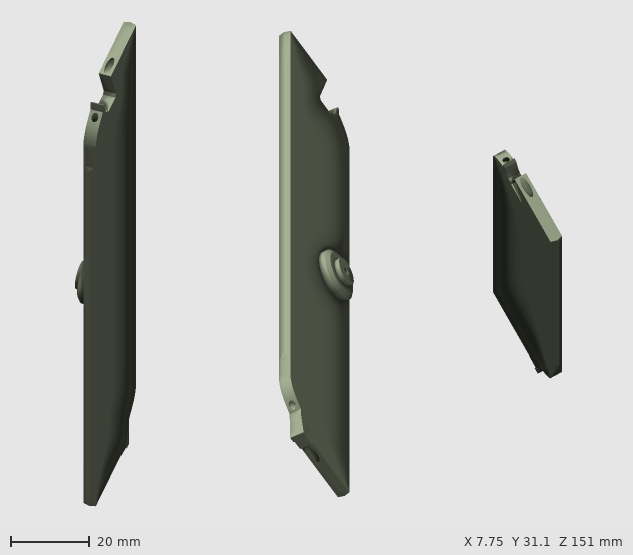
import cadquery as cq
import math


blade_length = 150.0
blade_width = 31.1
blade_thickness = 3.3
ridge_angle = 15.0

half_length = blade_length / 2
half_width = blade_width / 2
half_thickness = blade_thickness / 2
ridge_height = half_thickness * math.tan(math.radians(ridge_angle))

relief_depth = 0.3
relief_runout = 1.4
relief_start = 50.6
relief_y = -(half_width - relief_depth)

nose_radius = 9.0
nose_slope = 40.0
nose_arc_bottom = 58.9

clamp_edge = (-3.8, half_length)
jaw_tip = (-9.7, 70.0)
jaw_heel_y = -9.8
seat_profile = [
    clamp_edge,
    (0, 64.6),
    (-0.5, 63.5),
    (-5.6, 63.5),
    (-6.2, 64.5),
    (-7.1, 64.8),
    (-7.9, 65.8),
    (-8.8, 69.3),
    jaw_tip,
]

coolant_diameter = 1.8
clamp_hole_exit = (-0.5, half_length)
clamp_hole_angle = 162.0
clamp_hole_depth = 9.0
nose_hole_exit = (-11.2, 66.7)
nose_hole_angle = 90.0
nose_hole_depth = 4.5
hole_overrun = 6.0

button_y = -6.5
button_z = 0.5
button_radius = 7.0
button_cylinder_height = 1.8
button_chamfer_height = 0.9
button_face_radius = 5.9
button_boss_radius = 3.8
button_boss_height = 1.4
button_hole_radius = 1.0
button_hole_depth = button_boss_height

insert_overhang = 1.0
insert_back_overhang = 0.9
insert_width = 4.0
cutting_corner = (-8.9, half_length + insert_overhang)
insert_back_corner = (-4.4, half_length + insert_back_overhang)
head_end_width = 1.7


def half_turn(body):
    return body.rotate((0, 0, 0), (1, 0, 0), 180)


def plate(points, thickness):
    """Flat plate in the YZ plane, centred on X = 0."""
    return cq.Workplane("YZ").polyline(points).close().extrude(thickness / 2, both=True)


def make_ridged_bar():
    """Full-length bar with a shallow V ridge along both long edges."""
    shoulder = half_width - ridge_height
    section = [
        (-half_thickness, -shoulder),
        (0, -half_width),
        (half_thickness, -shoulder),
        (half_thickness, shoulder),
        (0, half_width),
        (-half_thickness, shoulder),
    ]
    bar = cq.Workplane("XY").workplane(offset=-half_length).polyline(section).close()
    return bar.extrude(blade_length)


def nose_arc_point(angle):
    """Point on the nose arc, the angle counted up from its bottom end."""
    turn = math.radians(angle)
    y = relief_y + nose_radius * (1 - math.cos(turn))
    return (y, nose_arc_bottom + nose_radius * math.sin(turn))


def make_end_outline():
    """Upper half of the blade outline, with the seat, nose and ridge relief."""
    arc_angle = 90 - nose_slope
    slope_end = nose_arc_point(arc_angle)
    heel_rise = (jaw_heel_y - slope_end[0]) * math.tan(math.radians(nose_slope))
    jaw_heel = (jaw_heel_y, slope_end[1] + heel_rise)
    outline = cq.Workplane("YZ").moveTo(half_width, 0).lineTo(half_width, half_length)
    for point in seat_profile:
        outline = outline.lineTo(*point)
    outline = (
        outline.lineTo(*jaw_heel)
        .lineTo(*slope_end)
        .threePointArc(nose_arc_point(arc_angle / 2), nose_arc_point(0))
        .lineTo(relief_y, relief_start + relief_runout)
        .lineTo(-half_width, relief_start)
        .lineTo(-half_width, 0)
        .close()
    )
    return outline.extrude(half_thickness, both=True)


def make_coolant_hole(exit_point, angle, depth):
    """Cutter for a blind hole that leaves the blade along the given angle."""
    turn = math.radians(angle)
    axis = cq.Vector(0, math.cos(turn), math.sin(turn))
    start = cq.Vector(0, *exit_point) - axis * depth
    hole = cq.Solid.makeCylinder(coolant_diameter / 2, depth + hole_overrun, start, axis)
    return cq.Workplane(obj=hole)


def make_button():
    """Stepped, chamfered button with a central blind hole, standing on the -X face."""
    face_height = button_cylinder_height + button_chamfer_height
    top_height = face_height + button_boss_height
    hole_floor = top_height - button_hole_depth
    half_section = [
        (0, 0),
        (button_radius, 0),
        (button_radius, button_cylinder_height),
        (button_face_radius, face_height),
        (button_boss_radius, face_height),
        (button_boss_radius, top_height),
        (button_hole_radius, top_height),
        (button_hole_radius, hole_floor),
        (0, hole_floor),
    ]
    seat_plane = cq.Plane((-half_thickness, button_y, button_z), xDir=(0, 1, 0), normal=(0, 0, 1))
    return cq.Workplane(seat_plane).polyline(half_section).close().revolve(360, (0, 0), (0, 1))


def make_blade():
    end = make_end_outline()
    blade = make_ridged_bar().intersect(end.union(half_turn(end)))
    coolant_holes = [
        make_coolant_hole(clamp_hole_exit, clamp_hole_angle, clamp_hole_depth),
        make_coolant_hole(nose_hole_exit, nose_hole_angle, nose_hole_depth),
    ]
    for hole in coolant_holes:
        blade = blade.cut(hole).cut(half_turn(hole))
    return blade.union(make_button())


def make_insert():
    """Insert filling a seat, with a head that widens toward the cutting corner."""
    body = plate(seat_profile + [cutting_corner, insert_back_corner], blade_thickness)
    corner_y, corner_z = cutting_corner
    back_y, back_z = insert_back_corner
    head_slope = (back_z - corner_z) / (back_y - corner_y)
    crease_foot = (corner_y + head_end_width, corner_z + head_slope * head_end_width)
    head = plate([jaw_tip, cutting_corner, crease_foot], insert_width)
    flare = [
        (-half_thickness, jaw_tip[1]),
        (half_thickness, jaw_tip[1]),
        (insert_width / 2, corner_z),
        (-insert_width / 2, corner_z),
    ]
    flare_body = cq.Workplane("XZ").polyline(flare).close().extrude(half_width)
    return half_turn(body.union(head.intersect(flare_body)))


blade = make_blade()
insert = make_insert()

result = cq.Compound.makeCompound([blade.val(), insert.val()])